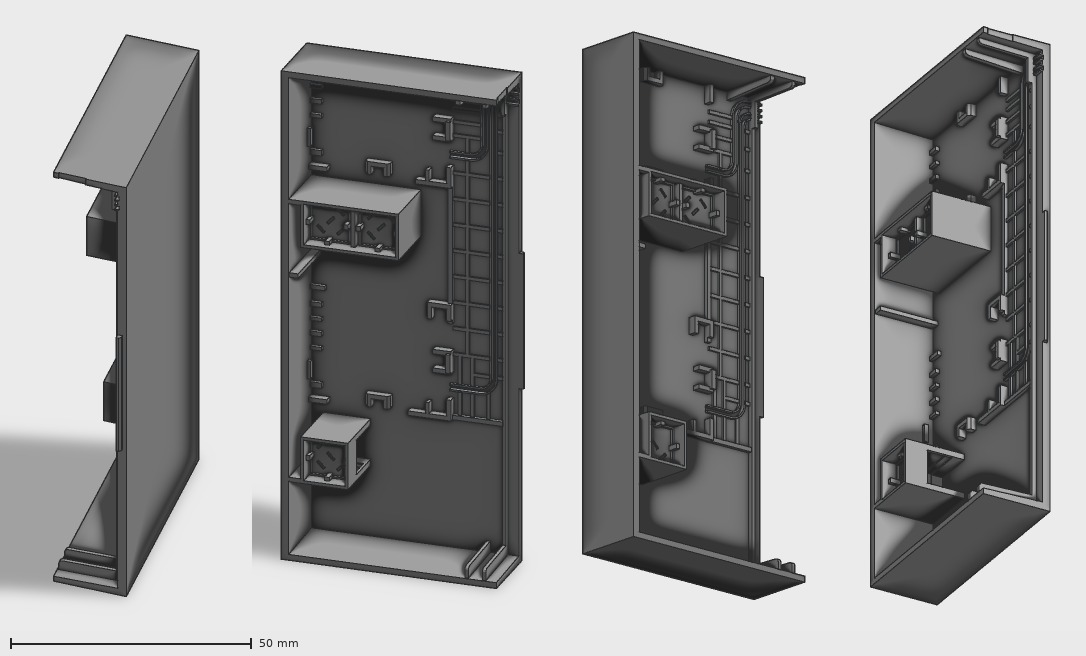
import cadquery as cq

depth = 16.0
width = 47.4
height = 110.0
side_wall = 1.6
end_wall_rim = 1.3
end_wall_root = 1.8
floor_x = 14.1
embed = 0.1
rib = 1.0
thin_rib = 0.8

side_wall_y = width - side_wall

tab_reach = 1.0
tab_thickness = 1.0
tab_chamfer = 0.4
tab_bottom_z = 39.5
tab_top_z = 70.0
notch_start_x = 1.1
notch_end_x = 7.0
notch_depth = 0.2

fence_y = 2.4
fence_thickness = 0.8
fence_front_x = 13.0
fence_raised_x = 12.0
fence_raised_length = 8.7
gusset_front_x = 0.3
gusset_rim_reach = 1.3
gusset_root_reach = 1.8
low_gusset_reach = 2.5
gusset_radius = 0.9
inner_gusset_y = 6.3
top_gusset_y = 8.1

low_x = 13.2
wall_x = 12.3
clip_x = 11.7
grid_x = 13.6

bay_pitch = 52.4
bay_count = 2
board_wall_y = 14.8
grid_end_y = board_wall_y - rib / 2
ledge_z = 83.7
ledge_end_y = 22.2
lower_ledge_z = ledge_z - bay_pitch
lower_ledge_end_y = 23.9
corner_height = 4.2
post_y = 19.6
post_height = 3.0
side_row_end_y = 43.2
side_row_heights = [104.9, 98.3]
side_row_step = 3.3
thick_row = 1.2
thick_row_z = 86.8
long_row_end_y = 41.7
catch_x = 11.5
catch_depth = 1.0
catch_reach = 0.8
catch_z = 88.7
catch_length = 4.1
side_clip_arms = [94.2, 98.3]
side_clip_end_y = 18.4
u_clip_mid_y = 30.6
u_clip_width = 5.4
u_clip_length = 2.9
u_clip_leg = 1.3
u_clip_chamfer = 0.5
u_clip_z = 86.8

top_u_clip_z = 105.5
top_stub_z = 104.4
bar_z = 64.1
bar_end_y = 43.8
hook_z = 56.4
hook_row_end_y = 42.5
hook_end_y = 19.6
hook_leg = 3.2
hook_foot_z = 52.4

box_y = 43.1
cell = 10.5
box_wall = 0.7
double_box_width = 21.6
double_box_z = 70.8
single_box_z = 17.7
key_face_x = 4.0
key_thickness = 1.3
slot_length = 2.1
slot_width = 0.5
slot_depth = 0.3
slot_angle = 45
slot_offset = 2.2
window_margin = 1.3
divider_front_x = 2.2
divider_thickness = 0.9
key_opening = 8.4
ledge_front_x = 3.3
guide_front_x = 1.5
guide_width = 1.1
guide_height = 0.4
step_start_x = 10.1
step_length = 1.3
step_height = 0.3

channel_width = 1.6
channel_front_x = 13.4
channel_start_y = 15.1
groove_width = 0.9
groove_floor_x = 14.4
inner_run_y = 7.4
outer_run_y = 5.4
upper_entry_z = 90.3
lower_entry_z = upper_entry_z - bay_pitch
channels = [
    (upper_entry_z, inner_run_y, 106.6, 3.1, 3.6),
    (lower_entry_z, outer_run_y, 104.1, 3.1, 2.4),
]

grid_pitch = 5.8
grid_bottom_z = 45.4
grid_rows = 8
grid_spine_y = 11.2
spine_top_z = 94.7
upper_row_heights = [spine_top_z, 97.8, 100.6, 102.8]
short_row_heights = [92.1, 96.8, 100.6]
lower_row_z = 41.4
lower_row_end_y = 10.1
lower_columns = [(12.9, grid_bottom_z), (lower_row_end_y, grid_bottom_z), (6.6, lower_entry_z)]


def box(x0, x1, y0, y1, z0, z1):
    return cq.Workplane("XY").box(x1 - x0, y1 - y0, z1 - z0, centered=False).translate((x0, y0, z0))


def on_floor(front_x, y0, y1, z0, z1):
    """Block standing on the back plate, reaching forward to front_x."""
    return box(front_x, floor_x + embed, y0, y1, z0, z1)


def row(front_x, y0, y1, mid_z, thickness=rib):
    """Rib on the back plate that runs along Y."""
    return on_floor(front_x, y0, y1, mid_z - thickness / 2, mid_z + thickness / 2)


def column(front_x, mid_y, z0, z1, thickness=rib):
    """Rib on the back plate that runs along Z."""
    return on_floor(front_x, mid_y - thickness / 2, mid_y + thickness / 2, z0, z1)


def profile_xz(points, y0, thickness):
    """Plate of an X-Z outline, spanning y0 to y0 + thickness."""
    return cq.Workplane("XZ").polyline(points).close().extrude(-thickness).translate((0, y0, 0))


def make_shell():
    cavity = profile_xz(
        [
            (0, end_wall_rim),
            (floor_x, end_wall_root),
            (floor_x, height - end_wall_root),
            (0, height - end_wall_rim),
        ],
        0,
        side_wall_y,
    )
    shell = box(0, depth, 0, width, 0, height).cut(cavity)
    notch = box(notch_start_x, notch_end_x, 0, notch_depth, height - end_wall_root, height)
    tab = box(floor_x, floor_x + tab_thickness, -tab_reach, embed, tab_bottom_z, tab_top_z)
    tab = tab.faces("<Y").edges(">X").chamfer(tab_chamfer)
    return shell.cut(notch).union(tab)


def gusset(y0, thickness, rim_reach, root_reach):
    """Full-depth gusset on the bottom wall with a rounded front corner."""
    plate = profile_xz(
        [
            (gusset_front_x, end_wall_rim - embed),
            (floor_x + embed, end_wall_rim - embed),
            (floor_x + embed, end_wall_root + root_reach),
            (gusset_front_x, end_wall_rim + rim_reach),
        ],
        y0,
        thickness,
    )
    return plate.edges("|Y").edges("<X").edges(">Z").fillet(gusset_radius)


def flipped(shape):
    """Mirror a detail from the bottom end wall to the top one."""
    return shape.mirror("XY", (0, 0, height / 2))


def make_fence():
    fence_end_y = fence_y + fence_thickness
    fence = on_floor(fence_front_x, fence_y, fence_end_y, end_wall_rim, height - end_wall_rim)
    raised_z = height - fence_raised_length
    fence = fence.union(on_floor(fence_raised_x, fence_y, fence_end_y, raised_z, height - end_wall_rim))
    bottom_gusset = gusset(fence_y, fence_thickness, low_gusset_reach, low_gusset_reach)
    inner_gusset = gusset(inner_gusset_y, thin_rib, low_gusset_reach, low_gusset_reach)
    top_gusset = flipped(gusset(fence_y, fence_thickness, gusset_rim_reach, gusset_rim_reach))
    upper_gusset = flipped(gusset(top_gusset_y, rib, gusset_rim_reach, gusset_root_reach))
    return fence.union(bottom_gusset).union(top_gusset).union(inner_gusset).union(upper_gusset)


def u_clip(base_z, direction):
    """Clip with a base rib along Y and two legs pointing along direction * Z."""
    y0 = u_clip_mid_y - u_clip_width / 2
    y1 = u_clip_mid_y + u_clip_width / 2
    tip_z = base_z + direction * u_clip_length
    z0, z1 = sorted((base_z, tip_z))
    clip = on_floor(wall_x, y0, y1, z0, z1).faces("<X").edges("|Z").chamfer(u_clip_chamfer)
    gap_z0, gap_z1 = sorted((base_z + direction * rib, tip_z))
    return clip.cut(on_floor(wall_x, y0 + u_clip_leg, y1 - u_clip_leg, gap_z0, gap_z1))


def make_bay():
    """The upper bay of supports."""
    bay = row(low_x, side_row_end_y, side_wall_y, thick_row_z, thick_row)
    bay = bay.union(row(wall_x, long_row_end_y, side_wall_y, ledge_z))
    for mid_z in side_row_heights:
        bay = bay.union(row(low_x, side_row_end_y, side_wall_y, mid_z))
        bay = bay.union(row(low_x, side_row_end_y, side_wall_y, mid_z - side_row_step, thin_rib))
    catch_z1 = catch_z + catch_length
    catch_y = side_wall_y - catch_reach
    bay = bay.union(box(catch_x, catch_x + catch_depth, catch_y, side_wall_y, catch_z, catch_z1))
    bay = bay.union(column(clip_x, board_wall_y, side_clip_arms[0], side_clip_arms[1]))
    for mid_z in side_clip_arms:
        bay = bay.union(row(wall_x, grid_end_y, side_clip_end_y, mid_z))
        bay = bay.union(column(wall_x, board_wall_y, mid_z - rib / 2, mid_z + rib / 2))
    bay = bay.union(column(wall_x, board_wall_y, ledge_z, ledge_z + corner_height))
    bay = bay.union(row(wall_x, grid_end_y, ledge_end_y, ledge_z))
    bay = bay.union(column(wall_x, post_y, ledge_z, ledge_z + post_height, thin_rib))
    return bay.union(u_clip(u_clip_z, -1))


def make_single_supports():
    """Supports that appear only once."""
    supports = u_clip(top_u_clip_z, 1)
    supports = supports.union(column(wall_x, board_wall_y, top_stub_z, height - end_wall_rim))
    supports = supports.union(row(gusset_front_x, bar_end_y, side_wall_y, bar_z))
    supports = supports.union(row(low_x, hook_row_end_y, side_wall_y, hook_z))
    supports = supports.union(column(low_x, board_wall_y, hook_foot_z, ledge_z))
    supports = supports.union(row(wall_x, grid_end_y, hook_end_y, hook_z))
    for mid_y in (board_wall_y, hook_end_y - rib / 2):
        supports = supports.union(column(wall_x, mid_y, hook_z - hook_leg, hook_z))
    supports = supports.union(row(wall_x, board_wall_y, lower_ledge_end_y, lower_ledge_z))
    return supports.union(row(low_x, fence_y, board_wall_y, lower_ledge_z))


def make_grid():
    grid = column(grid_x, grid_spine_y, grid_bottom_z, spine_top_z, thin_rib)
    for index in range(grid_rows):
        mid_z = grid_bottom_z + index * grid_pitch
        grid = grid.union(row(grid_x, fence_y, grid_end_y, mid_z, thin_rib))
    for mid_z in upper_row_heights:
        grid = grid.union(row(grid_x, inner_run_y, grid_end_y, mid_z, thin_rib))
    for mid_z in short_row_heights:
        grid = grid.union(row(grid_x, fence_y, outer_run_y, mid_z, thin_rib))
    grid = grid.union(row(grid_x, fence_y, lower_row_end_y, lower_row_z, thin_rib))
    for mid_y, top_z in lower_columns:
        grid = grid.union(column(grid_x, mid_y, lower_ledge_z, top_z, thin_rib))
    return grid


def channel_band(band, start_z, run_y, exit_z, lower_radius, upper_radius, front_x, back_x):
    """Constant-width band: in along Y, up along Z, then out through the -Y side."""
    path = (
        cq.Workplane("YZ")
        .moveTo(channel_start_y, start_z)
        .lineTo(run_y + lower_radius, start_z)
        .radiusArc((run_y, start_z + lower_radius), lower_radius)
        .lineTo(run_y, exit_z - upper_radius)
        .radiusArc((run_y - upper_radius, exit_z), -upper_radius)
        .lineTo(0, exit_z)
    )
    section = (
        cq.Workplane("XZ", origin=(0, channel_start_y, 0))
        .center((front_x + back_x) / 2, start_z)
        .rect(back_x - front_x, band)
    )
    return section.sweep(path, transition="right")


def key_face(mid_y, mid_z, missing):
    """Key plate with a centre slot and three corner slots; the missing corner is (Y sign, Z sign)."""
    half = cell / 2 - box_wall + embed
    face = box(key_face_x, key_face_x + key_thickness, -half, half, -half, half)
    slots = [(0, 0, missing[0] * missing[1])]
    for sign_y in (-1, 1):
        for sign_z in (-1, 1):
            if (sign_y, sign_z) != missing:
                slots.append((sign_y, sign_z, sign_y * sign_z))
    for sign_y, sign_z, slope in slots:
        slot = box(0, slot_depth, -slot_length / 2, slot_length / 2, -slot_width / 2, slot_width / 2)
        slot = slot.rotate((0, 0, 0), (1, 0, 0), -slot_angle * slope)
        face = face.cut(slot.translate((key_face_x, sign_y * slot_offset, sign_z * slot_offset)))
    half_opening = key_opening / 2
    ledge = box(ledge_front_x, key_face_x + embed, -half, half, -half, half)
    ledge = ledge.cut(box(0, depth, -half_opening, half_opening, -half_opening, half_opening))
    for quarter in range(4):
        guide = box(
            guide_front_x,
            key_face_x + embed,
            half_opening - guide_height,
            half,
            -guide_width / 2,
            guide_width / 2,
        )
        ledge = ledge.union(guide.rotate((0, 0, 0), (1, 0, 0), 90 * quarter))
    return face.union(ledge).translate((0, mid_y, mid_z))


def box_frame(y0, y1, z0, z1):
    frame = box(0, floor_x + embed, y0, y1, z0, z1)
    return frame.cut(box(0, floor_x, y0 + box_wall, y1 - box_wall, z0 + box_wall, z1 - box_wall))


def make_double_box():
    y0 = box_y - double_box_width
    z1 = double_box_z + cell
    mid_z = double_box_z + cell / 2
    frame = box_frame(y0, box_y, double_box_z, z1)
    divider_y = y0 + double_box_width / 2
    divider = box(
        divider_front_x,
        floor_x + embed,
        divider_y - divider_thickness / 2,
        divider_y + divider_thickness / 2,
        double_box_z,
        z1,
    )
    frame = frame.union(divider)
    frame = frame.union(key_face(box_y - cell / 2, mid_z, (1, 1)))
    frame = frame.union(key_face(y0 + cell / 2, mid_z, (-1, -1)))
    bracket = box(0, floor_x + embed, box_y - embed, side_wall_y, z1 - rib, z1)
    return frame.union(bracket)


def make_single_box():
    y0 = box_y - cell
    z1 = single_box_z + cell
    frame = box_frame(y0, box_y, single_box_z, z1)
    frame = frame.union(key_face(box_y - cell / 2, single_box_z + cell / 2, (-1, 1)))
    bracket = box(0, floor_x + embed, box_y - embed, side_wall_y, single_box_z, single_box_z + rib)
    return frame.union(bracket).union(root_step(1)).union(root_step(2))


def root_step(level):
    """One step of the lining on three inner walls of the single box, next to the back plate."""
    inset = level * step_height
    x0 = step_start_x + (level - 1) * step_length
    y0 = box_y - cell
    y1 = box_y - box_wall
    z0 = single_box_z + box_wall
    z1 = single_box_z + cell - box_wall
    step = on_floor(x0, y0, y1 + embed, z0 - embed, z1 + embed)
    return step.cut(on_floor(x0, y0, y1 - inset, z0 + inset, z1 - inset))


def cut_box_window(body):
    """Side window behind the key plate of the single box, open down to the back plate."""
    y0 = box_y - cell
    z0 = single_box_z + window_margin
    z1 = single_box_z + cell - window_margin
    return body.cut(box(key_face_x + key_thickness, floor_x, y0, y0 + box_wall, z0, z1))


result = make_shell().union(make_fence()).union(make_grid()).union(make_single_supports())
for index in range(bay_count):
    result = result.union(make_bay().translate((0, 0, -index * bay_pitch)))
for channel in channels:
    result = result.union(channel_band(channel_width, *channel, channel_front_x, floor_x + embed))
for channel in channels:
    result = result.cut(channel_band(groove_width, *channel, channel_front_x - embed, groove_floor_x))
result = result.union(make_double_box()).union(make_single_box())
result = cut_box_window(result)